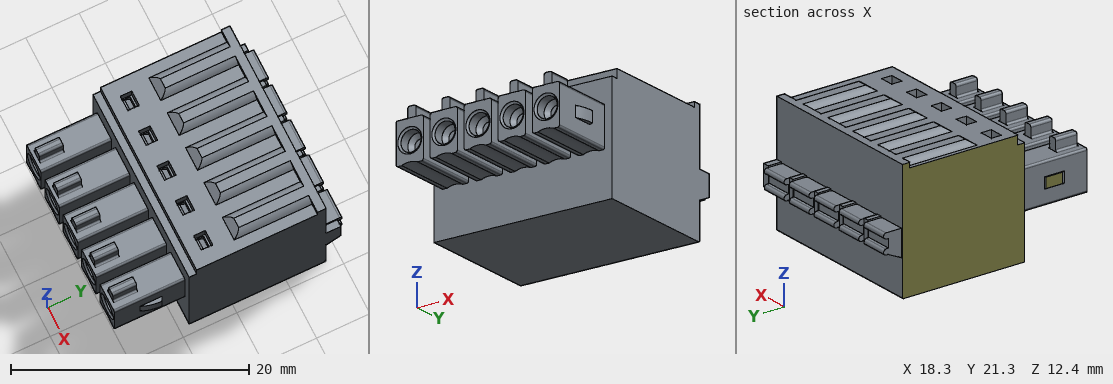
import cadquery as cq
import math


pole_count = 5
pole_pitch = 3.5
pole_centres = [(i - (pole_count - 1) / 2) * pole_pitch for i in range(pole_count)]

housing_width = 18.3
housing_depth = 12.82
housing_height = 12.4
deck_drop = 0.51
deck_height = housing_height - deck_drop
rear_rim_depth = 0.8
front_step_depth = 0.7
front_step_height = 0.9
rear_bottom_chamfer = 0.13

ridge_top_half_width = 0.47
ridge_base_half_width = 1.13
ridge_bulge = 0.06
ridge_front_y = 4.73
ridge_ramp_length = 0.75

window_width = 1.43
window_length = 1.06
window_front_y = 1.85
window_depth = 0.9
window_side_ledge = 0.1
window_rear_ledge = 0.2
window_shelf_length = 0.35
window_shelf_drop = 0.1
window_slope_drop = 0.53

bar_depth = 1.38
bar_top = 6.58
bar_tip_bottom = 4.45
bar_root_bottom = 3.77
lever_width = 2.77
lever_gap = 0.1
lever_drop = 0.09
lip_reach = 0.5
lip_height = 0.6
lip_flat = 0.25
lip_tip_height = 0.28

sleeve_width = 2.8
sleeve_length = 6.6
sleeve_bottom = 4.58
sleeve_top = 8.7
sleeve_edge_radius = 0.2
groove_width = 1.62
groove_height = 0.17

bore_height = 6.69
bore_radius = 1.02
mouth_rounding = 0.2
bore_depth = 1.62
bore_floor_radius = 0.62
bore_cone_depth = 0.43

key_half_width = 0.43
key_top = 9.9
key_length = 2.24
key_setback = 0.32
key_top_radius = 0.23
key_foot_radius = 0.2

latch_height = 1.1
latch_reach = 0.4
latch_rear = 2.17
latch_crest = 2.36
latch_front = 4.24

overlap = 0.1


def tangent_radius(run, drop):
    """Radius of an arc that starts level and falls by drop over the given run."""
    return (run**2 + drop**2) / (2 * drop)


def arc_drop(radius, run):
    """Fall of that arc after the given run."""
    return radius - math.sqrt(radius**2 - run**2)


def extrude_x(profile, start_x, width):
    """Extrude a YZ profile along +X from start_x."""
    return profile.extrude(width).translate((start_x, 0, 0))


def make_housing():
    step_z = deck_height - front_step_height
    rim_y = housing_depth - rear_rim_depth
    profile = (
        cq.Workplane("YZ")
        .moveTo(0, 0)
        .lineTo(housing_depth - rear_bottom_chamfer, 0)
        .lineTo(housing_depth, rear_bottom_chamfer)
        .lineTo(housing_depth, housing_height)
        .lineTo(rim_y, housing_height)
        .lineTo(rim_y, deck_height)
        .lineTo(front_step_depth, deck_height)
        .lineTo(front_step_depth, step_z)
        .lineTo(0, step_z)
        .close()
    )
    return extrude_x(profile, -housing_width / 2, housing_width)


def make_ridge(x):
    """Ridge with rounded flanks that runs into the rear rim and ramps down at the front."""
    flank_run = ridge_base_half_width - ridge_top_half_width
    flank_length = math.hypot(flank_run, deck_drop)
    mid_x = (ridge_base_half_width + ridge_top_half_width) / 2 + ridge_bulge * deck_drop / flank_length
    mid_z = deck_drop / 2 + ridge_bulge * flank_run / flank_length
    section = (
        cq.Workplane("XZ")
        .moveTo(-ridge_base_half_width, -overlap)
        .lineTo(-ridge_base_half_width, 0)
        .threePointArc((-mid_x, mid_z), (-ridge_top_half_width, deck_drop))
        .lineTo(ridge_top_half_width, deck_drop)
        .threePointArc((mid_x, mid_z), (ridge_base_half_width, 0))
        .lineTo(ridge_base_half_width, -overlap)
        .close()
    )
    ridge_rear_y = housing_depth - rear_rim_depth + overlap
    ridge = section.extrude(-(ridge_rear_y - ridge_front_y)).translate((0, ridge_front_y, 0))
    ramp = (
        cq.Workplane("YZ")
        .moveTo(ridge_front_y, 0)
        .lineTo(ridge_front_y + ridge_ramp_length, deck_drop)
        .lineTo(ridge_front_y, deck_drop)
        .close()
        .extrude(ridge_base_half_width, both=True)
    )
    return ridge.cut(ramp).translate((x, 0, deck_height))


def make_window(x):
    """Rectangular opening with a narrower lower part whose floor slopes down to the rear."""
    rear_y = window_front_y + window_length
    floor_z = deck_height - window_depth
    shelf_z = floor_z - window_shelf_drop
    slope_rear_y = rear_y - window_rear_ledge
    opening = (
        cq.Workplane("XY", origin=(x, window_front_y + window_length / 2, floor_z))
        .rect(window_width, window_length)
        .extrude(window_depth)
    )
    lower_profile = (
        cq.Workplane("YZ")
        .moveTo(window_front_y, floor_z)
        .lineTo(window_front_y, shelf_z)
        .lineTo(window_front_y + window_shelf_length, shelf_z)
        .lineTo(slope_rear_y, shelf_z - window_slope_drop)
        .lineTo(slope_rear_y, floor_z)
        .close()
    )
    lower_width = window_width - 2 * window_side_ledge
    return opening.union(extrude_x(lower_profile, x - lower_width / 2, lower_width))


def make_bar():
    root_y = housing_depth - overlap
    tip_y = housing_depth + bar_depth
    profile = (
        cq.Workplane("YZ")
        .moveTo(root_y, bar_root_bottom)
        .lineTo(housing_depth, bar_root_bottom)
        .lineTo(tip_y, bar_tip_bottom)
        .lineTo(tip_y, bar_top)
        .lineTo(root_y, bar_top)
        .close()
    )
    return extrude_x(profile, -housing_width / 2, housing_width)


def make_lever_clearance(x):
    """Gaps on both sides of a lever and the shallow drop of its top face."""
    slot_width = lever_width + 2 * lever_gap
    bar_height = bar_top - bar_root_bottom
    middle_y = housing_depth + bar_depth / 2
    slot = (
        cq.Workplane("XY", origin=(x, middle_y, bar_root_bottom))
        .rect(slot_width, bar_depth)
        .extrude(bar_height)
    )
    lever = (
        cq.Workplane("XY", origin=(x, middle_y, bar_root_bottom))
        .rect(lever_width, bar_depth)
        .extrude(bar_height - lever_drop)
    )
    return slot.cut(lever)


def make_lip(x, flat_z, inward):
    """Rounded lip across a lever; inward is the Z direction from its flat face."""
    root_y = housing_depth + bar_depth
    tip_y = root_y + lip_reach
    flat_y = root_y + lip_flat
    profile = (
        cq.Workplane("YZ")
        .moveTo(root_y - overlap, flat_z)
        .lineTo(flat_y, flat_z)
        .threePointArc(
            (tip_y, flat_z + inward * lip_tip_height),
            (flat_y, flat_z + inward * 2 * lip_tip_height),
        )
        .lineTo(root_y, flat_z + inward * lip_height)
        .lineTo(root_y - overlap, flat_z + inward * lip_height)
        .close()
    )
    return extrude_x(profile, x - lever_width / 2, lever_width)


def make_sleeve(x):
    sleeve_height = sleeve_top - sleeve_bottom
    sleeve = (
        cq.Workplane("XZ", origin=(x, overlap, sleeve_bottom + sleeve_height / 2))
        .rect(sleeve_width, sleeve_height)
        .extrude(sleeve_length + overlap)
        .edges("|Y")
        .fillet(sleeve_edge_radius)
    )
    groove = (
        cq.Workplane("XZ", origin=(x, 0, sleeve_bottom))
        .moveTo(-groove_width / 2, 0)
        .threePointArc((0, groove_height), (groove_width / 2, 0))
        .close()
        .extrude(sleeve_length)
    )
    return sleeve.cut(groove)


def make_bore(x):
    """Bore with a rounded mouth and a conical end."""
    profile = (
        cq.Workplane("XY")
        .moveTo(0, 0)
        .lineTo(bore_radius + mouth_rounding, 0)
        .radiusArc((bore_radius, mouth_rounding), -mouth_rounding)
        .lineTo(bore_radius, bore_depth - bore_cone_depth)
        .lineTo(bore_floor_radius, bore_depth)
        .lineTo(0, bore_depth)
        .close()
    )
    bore = profile.revolve(360, (0, 0, 0), (0, 1, 0))
    return bore.translate((x, -sleeve_length, bore_height))


def make_key(x):
    """Upright key with a rounded top and a filleted foot."""
    foot_half_width = key_half_width + key_foot_radius
    foot_top = sleeve_top + key_foot_radius
    shoulder_z = key_top - key_top_radius
    flat_half_width = key_half_width - key_top_radius
    section = (
        cq.Workplane("XZ")
        .moveTo(-foot_half_width, sleeve_top - overlap)
        .lineTo(-foot_half_width, sleeve_top)
        .radiusArc((-key_half_width, foot_top), -key_foot_radius)
        .lineTo(-key_half_width, shoulder_z)
        .radiusArc((-flat_half_width, key_top), key_top_radius)
        .lineTo(flat_half_width, key_top)
        .radiusArc((key_half_width, shoulder_z), key_top_radius)
        .lineTo(key_half_width, foot_top)
        .radiusArc((foot_half_width, sleeve_top), -key_foot_radius)
        .lineTo(foot_half_width, sleeve_top - overlap)
        .close()
    )
    key_rear_y = key_setback + key_length - sleeve_length
    return section.extrude(key_length).translate((x, key_rear_y, 0))


def make_latch(side):
    """Latch nose on the outer side of an end sleeve; side is -1 or +1 along X."""
    root_x = pole_centres[-1] + sleeve_width / 2
    crest_x = root_x + latch_reach
    curve_length = latch_front - latch_crest
    curve_radius = tangent_radius(curve_length, latch_reach)
    middle_x = crest_x - arc_drop(curve_radius, curve_length / 2)
    middle_y = -(latch_crest + latch_front) / 2
    latch = (
        cq.Workplane("XY", origin=(0, 0, bore_height - latch_height / 2))
        .moveTo(root_x - overlap, -latch_rear)
        .lineTo(root_x, -latch_rear)
        .lineTo(crest_x, -latch_crest)
        .threePointArc((middle_x, middle_y), (root_x, -latch_front))
        .lineTo(root_x - overlap, -latch_front)
        .close()
        .extrude(latch_height)
    )
    return latch if side > 0 else latch.mirror("YZ")


result = make_housing().union(make_bar())

for pole_x in pole_centres:
    result = result.union(make_ridge(pole_x))
    result = result.cut(make_window(pole_x))
    result = result.cut(make_lever_clearance(pole_x))
    result = result.union(make_lip(pole_x, bar_top - lever_drop, -1))
    result = result.union(make_lip(pole_x, bar_tip_bottom, 1))
    result = result.union(make_sleeve(pole_x))
    result = result.union(make_key(pole_x))
    result = result.cut(make_bore(pole_x))

for latch_side in (-1, 1):
    result = result.union(make_latch(latch_side))